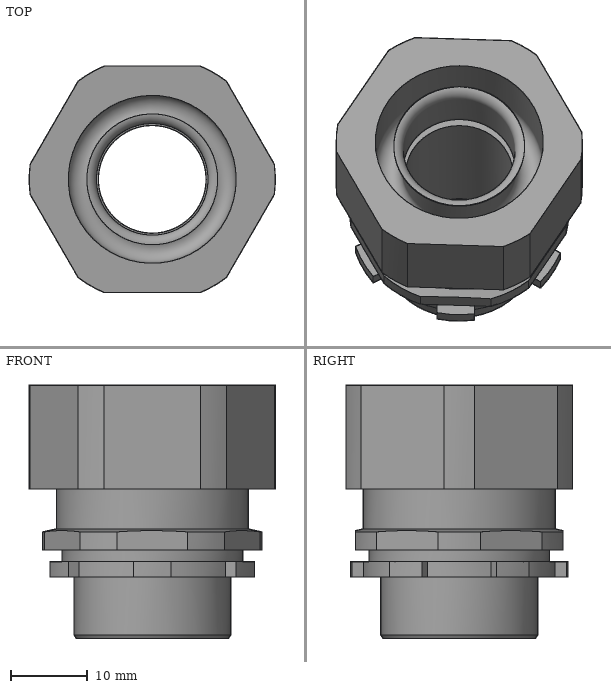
import cadquery as cq
import math

total_height = 33.0
thread_chamfer_height = 0.5
thread_chamfer_width = 0.33
lug_ring_bottom = 8.02
lug_ring_top = 10.03
flange_bottom = 11.52
flange_shoulder = 13.9
flange_top = 14.3
nut_bottom = 19.47

thread_radius = 10.23
neck_radius = 11.78
body_radius = 12.5

nut_across_flats = 29.5
nut_corner_diameter = 32.05
flange_across_flats = 27.05
flange_corner_diameter = 28.58

ring_radius = 12.67
lug_tip_radius = 14.2
lug_width = 4.9
lug_count = 6

bore_radius = 7.0
socket_radius = 10.92
seat_height = 22.87
sheet = 0.2
ferrule_inner_radius = 7.25
ferrule_outer_radius = ferrule_inner_radius + sheet
flare_edge_radius = 8.5
flare_radius = flare_edge_radius - ferrule_inner_radius
flare_top = 31.7
flare_start = flare_top - flare_radius
curl_center_height = 24.62
groove_radius = (socket_radius - ferrule_outer_radius) / 2
curl_center_radius = ferrule_outer_radius + groove_radius
curl_radius = groove_radius + sheet


def cylinder(radius, bottom, top):
    return cq.Workplane("XY").workplane(offset=bottom).circle(radius).extrude(top - bottom)


def turned_hexagon(across_flats, corner_diameter, bottom, top):
    """Hexagon with flats facing +/-Y and its corners turned to a circle."""
    point_diameter = across_flats / math.cos(math.radians(30))
    hexagon = cq.Workplane("XY").workplane(offset=bottom).polygon(6, point_diameter).extrude(top - bottom)
    return hexagon.intersect(cylinder(corner_diameter / 2, bottom, top))


def revolve(profile):
    """Turn a closed (radius, height) profile about Z."""
    return profile.close().revolve(360, (0, 0, 0), (0, 1, 0))


def flange():
    """Thin hexagon whose top slopes up to the round body."""
    corner_radius = flange_corner_diameter / 2
    envelope = revolve(
        cq.Workplane("XZ")
        .moveTo(0, flange_bottom)
        .lineTo(corner_radius, flange_bottom)
        .lineTo(corner_radius, flange_shoulder)
        .lineTo(body_radius, flange_top)
        .lineTo(0, flange_top)
    )
    hexagon = turned_hexagon(flange_across_flats, flange_corner_diameter, flange_bottom, flange_top)
    return hexagon.intersect(envelope)


def lug_ring():
    """Locking ring with parallel-sided lugs, one of them facing -Y."""
    height = lug_ring_top - lug_ring_bottom
    base = cq.Workplane("XY").workplane(offset=lug_ring_bottom)
    bar = base.rect(lug_width, 2 * lug_tip_radius).extrude(height)
    bars = bar
    for index in range(1, lug_count // 2):
        bars = bars.union(bar.rotate((0, 0, 0), (0, 0, 1), index * 360 / lug_count))
    lugs = bars.intersect(cylinder(lug_tip_radius, lug_ring_bottom, lug_ring_top))
    return cylinder(ring_radius, lug_ring_bottom, lug_ring_top).union(lugs)


def cavity():
    """Open space of the bore, the seat under the ferrule and the groove around it."""
    seat_rise = seat_height - curl_center_height
    seat_radius = curl_center_radius - math.sqrt(curl_radius**2 - seat_rise**2)
    diagonal = math.sqrt(0.5)
    curl_mid_angle = math.atan2(-seat_rise, curl_center_radius - seat_radius) / 2
    curl_mid = (
        curl_center_radius - curl_radius * math.cos(curl_mid_angle),
        curl_center_height - curl_radius * math.sin(curl_mid_angle),
    )
    inner_flare_mid = (
        flare_edge_radius - flare_radius * diagonal,
        flare_start + flare_radius * diagonal,
    )
    outer_flare_radius = flare_radius - sheet
    outer_flare_mid = (
        flare_edge_radius - outer_flare_radius * diagonal,
        flare_start + outer_flare_radius * diagonal,
    )
    return revolve(
        cq.Workplane("XZ")
        .moveTo(0, 0)
        .lineTo(bore_radius, 0)
        .lineTo(bore_radius, seat_height)
        .lineTo(seat_radius, seat_height)
        .threePointArc(curl_mid, (ferrule_inner_radius, curl_center_height))
        .lineTo(ferrule_inner_radius, flare_start)
        .threePointArc(inner_flare_mid, (flare_edge_radius, flare_top))
        .lineTo(flare_edge_radius, flare_top - sheet)
        .threePointArc(outer_flare_mid, (ferrule_outer_radius, flare_start))
        .lineTo(ferrule_outer_radius, curl_center_height)
        .threePointArc(
            (curl_center_radius, curl_center_height - groove_radius),
            (socket_radius, curl_center_height),
        )
        .lineTo(socket_radius, total_height)
        .lineTo(0, total_height)
    )


thread = revolve(
    cq.Workplane("XZ")
    .moveTo(0, 0)
    .lineTo(thread_radius - thread_chamfer_width, 0)
    .lineTo(thread_radius, thread_chamfer_height)
    .lineTo(thread_radius, lug_ring_top)
    .lineTo(0, lug_ring_top)
)
neck = cylinder(neck_radius, lug_ring_top, flange_bottom)
body = cylinder(body_radius, flange_bottom, nut_bottom)
nut = turned_hexagon(nut_across_flats, nut_corner_diameter, nut_bottom, total_height)

outside = thread.union(lug_ring()).union(neck).union(flange()).union(body).union(nut)
result = outside.cut(cavity())